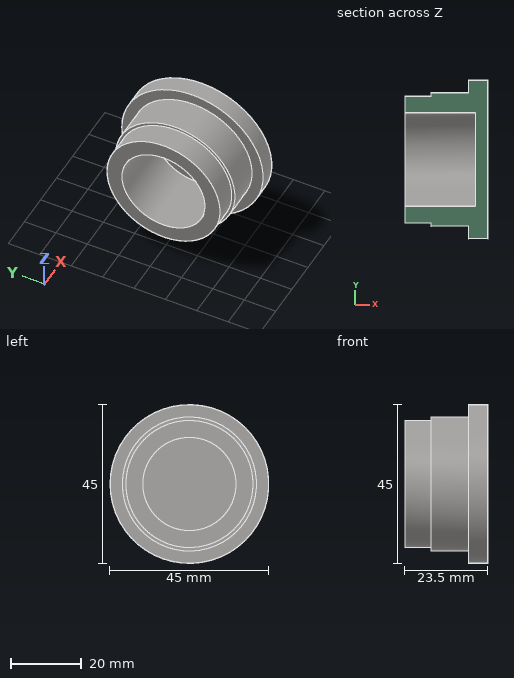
import cadquery as cq

nose_diameter = 36.0
body_diameter = 38.0
flange_diameter = 45.0
nose_length = 7.35
body_length = 10.65
flange_length = 5.5

bore_diameter = 26.4
floor_thickness = 3.5

total_length = nose_length + body_length + flange_length
bore_depth = total_length - floor_thickness


def cylinder_along_x(diameter, start, length):
    """Solid cylinder on the X axis, running toward +X from start."""
    return cq.Workplane("YZ", origin=(start, 0, 0)).circle(diameter / 2).extrude(length)


nose = cylinder_along_x(nose_diameter, 0, nose_length)
body = cylinder_along_x(body_diameter, nose_length, body_length)
flange = cylinder_along_x(flange_diameter, nose_length + body_length, flange_length)

bore = cylinder_along_x(bore_diameter, 0, bore_depth)

result = nose.union(body).union(flange).cut(bore)